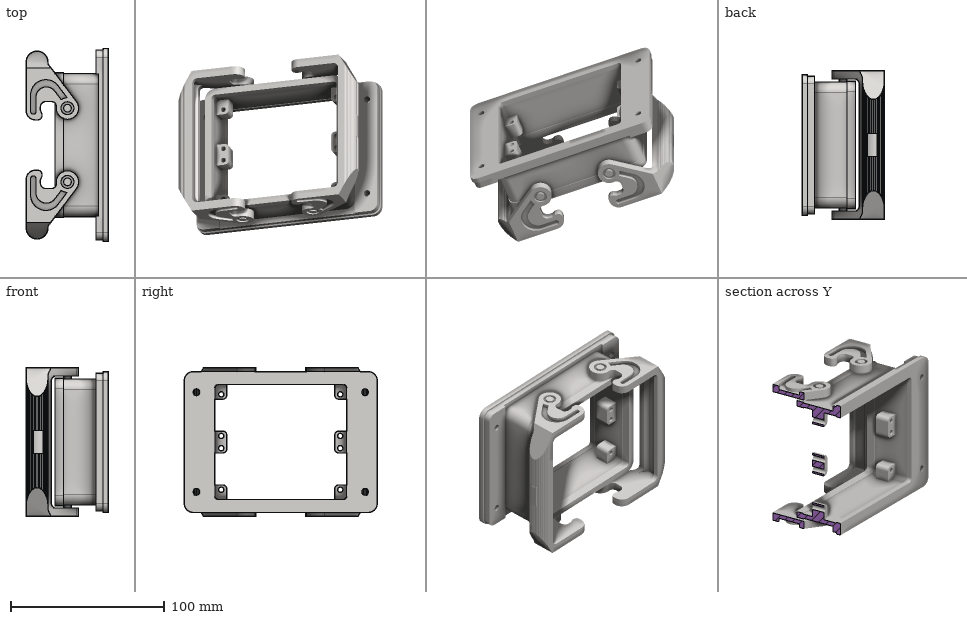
import cadquery as cq
import math


TOTAL_DEPTH = 53.8
FLANGE_WIDTH, FLANGE_HEIGHT = 126.0, 92.0
BACK_PLATE_THICKNESS = 3.5
FRONT_PLATE_THICKNESS = 4.7
PLATE_SETBACK = 1.0
FLANGE_CORNER_RADIUS = 6.0
RELIEF_WIDTH = 92.8
RELIEF_DEPTH = 1.7
SCREW_HOLE_DIAMETER = 4.3
SCREW_HOLE_Y, SCREW_HOLE_Z = 55.0, 32.5

BACK_PLATE_X = TOTAL_DEPTH - BACK_PLATE_THICKNESS
FRONT_PLATE_X = BACK_PLATE_X - FRONT_PLATE_THICKNESS

RIM_X = 18.9
RIM_DEPTH = 5.7
RIM_WIDTH, RIM_HEIGHT = 94.6, 83.4
RIM_CORNER_RADIUS = 6.9
WALL_SETBACK = 0.5
OPENING_WIDTH, OPENING_HEIGHT = 86.0, 74.8
OPENING_CORNER_RADIUS = 2.6

WALL_X = RIM_X + RIM_DEPTH
BODY_WIDTH = RIM_WIDTH - 2 * WALL_SETBACK
BODY_HEIGHT = RIM_HEIGHT - 2 * WALL_SETBACK
CAVITY_WIDTH = OPENING_WIDTH + 2 * WALL_SETBACK
CAVITY_HEIGHT = OPENING_HEIGHT + 2 * WALL_SETBACK

BLOCK_X = 31.1
BLOCK_DEPTH = 9.7
BLOCK_INNER_Y = 35.1
MIDDLE_BLOCK_HEIGHT = 14.4
CORNER_BLOCK_Z = 27.9
BLOCK_EDGE_RADIUS = 2.8
BLOCK_HOLE_DIAMETER = 3.3
BLOCK_HOLE_Y = 38.8
BLOCK_HOLE_HEIGHTS = (4.0, 31.1)

LEVER_HEIGHT = 97.0
ARM_THICKNESS = 5.5
GRIP_RADIUS = 7.2
GRIP_Y = 54.1
GRIP_BLEND_RADIUS = 1.0
PIVOT_X, PIVOT_Y = 27.05, 24.05
PIVOT_RADIUS = 7.25
BACK_ANGLE = math.radians(37.0)
HOOK_RADIUS = 6.3
HOOK_END_Y = 16.3
HOOK_TIP_RADIUS = 2.9
HOOK_TIP_X = 10.5
HOOK_LIP_Y = 20.4
MOUTH_X, MOUTH_BOTTOM_Y, MOUTH_TOP_Y = 9.45, 22.6, 28.3
MOUTH_RADIUS = 3.4
MOUTH_PIVOT_RADIUS = 3.2
CHAMFER_TOP_Y = 50.4
CHAMFER_ANGLE = math.radians(60.0)
CHAMFER_CLEARANCE = 1.0

HALF_HEIGHT = LEVER_HEIGHT / 2
ARM_INNER_Z = HALF_HEIGHT - ARM_THICKNESS
GRIP_END_Y = GRIP_Y + GRIP_RADIUS
LEVER_DEPTH = PIVOT_X + PIVOT_RADIUS
BACK_DIRECTION = (math.sin(BACK_ANGLE), -math.cos(BACK_ANGLE))
BACK_NORMAL = (math.cos(BACK_ANGLE), math.sin(BACK_ANGLE))

WINDOW_Y = 50.1
WINDOW_CORNER_RADIUS = 3.6
GRIP_POCKET_X = 3.3
GRIP_POCKET_Y = 52.6
BACK_WALL_THICKNESS = 3.4

POCKET_DEPTH = 2.5
POCKET_LEFT_X, POCKET_RIGHT_X = 3.0, 6.5
POCKET_END_Y = 20.1
POCKET_OUTER_CENTRE, POCKET_OUTER_RADIUS = (12.95, 32.7), 9.95
POCKET_INNER_CENTRE, POCKET_INNER_RADIUS = (13.3, 31.1), 6.8
POCKET_PIVOT_DISTANCE = 6.85

PIN_RADIUS = 2.5
PIN_RING_RADIUS = 4.2
PIN_RING_DEPTH = 1.5
PIN_EMBED = 1.0

RIB_FLUTE_COUNT = 26
RIB_FLUTE_DEPTH = 0.15
NAME_PLATE_X, NAME_PLATE_WIDTH, NAME_PLATE_HEIGHT = 4.8, 6.3, 15.0


def along(point, direction, distance):
    return (point[0] + direction[0] * distance, point[1] + direction[1] * distance)


def rounded_block(x_start, depth, width, height, radius):
    """Block centred on the X axis, with its four X-parallel edges rounded."""
    block = cq.Workplane("YZ", origin=(x_start, 0, 0)).rect(width, height).extrude(depth)
    return block.edges("|X").fillet(radius)


def span_block(x_span, y_span, z_span):
    """Axis-aligned block given by its limits."""
    sizes = [high - low for low, high in (x_span, y_span, z_span)]
    corner = (x_span[0], y_span[0], z_span[0])
    return cq.Workplane("XY").box(*sizes, centered=False).translate(corner)


def make_flange():
    flange = rounded_block(
        BACK_PLATE_X, BACK_PLATE_THICKNESS, FLANGE_WIDTH, FLANGE_HEIGHT, FLANGE_CORNER_RADIUS)
    front_plate = rounded_block(
        FRONT_PLATE_X, FRONT_PLATE_THICKNESS,
        FLANGE_WIDTH - 2 * PLATE_SETBACK, FLANGE_HEIGHT - 2 * PLATE_SETBACK,
        FLANGE_CORNER_RADIUS - PLATE_SETBACK)
    relief = span_block(
        (FRONT_PLATE_X, FRONT_PLATE_X + RELIEF_DEPTH),
        (-RELIEF_WIDTH / 2, RELIEF_WIDTH / 2),
        (-FLANGE_HEIGHT / 2, FLANGE_HEIGHT / 2))
    screw_holes = (
        cq.Workplane("YZ", origin=(FRONT_PLATE_X, 0, 0))
        .rect(2 * SCREW_HOLE_Y, 2 * SCREW_HOLE_Z, forConstruction=True)
        .vertices()
        .circle(SCREW_HOLE_DIAMETER / 2)
        .extrude(TOTAL_DEPTH - FRONT_PLATE_X))
    return flange.union(front_plate.cut(relief)).cut(screw_holes)


def make_housing():
    rim = rounded_block(RIM_X, RIM_DEPTH, RIM_WIDTH, RIM_HEIGHT, RIM_CORNER_RADIUS)
    body = rounded_block(
        WALL_X, BACK_PLATE_X - WALL_X, BODY_WIDTH, BODY_HEIGHT, RIM_CORNER_RADIUS)
    opening = rounded_block(
        RIM_X, TOTAL_DEPTH - RIM_X, OPENING_WIDTH, OPENING_HEIGHT, OPENING_CORNER_RADIUS)
    cavity = rounded_block(
        WALL_X, BACK_PLATE_X - WALL_X, CAVITY_WIDTH, CAVITY_HEIGHT,
        OPENING_CORNER_RADIUS + WALL_SETBACK)
    return make_flange().union(rim).union(body).cut(opening).cut(cavity)


def make_mounting_blocks():
    """The three blocks on the +Y wall; they reach into the wall to join it."""
    x_span = (BLOCK_X, BLOCK_X + BLOCK_DEPTH)
    wall_y = (CAVITY_WIDTH + BODY_WIDTH) / 4
    wall_z = (CAVITY_HEIGHT + BODY_HEIGHT) / 4
    y_span = (BLOCK_INNER_Y, wall_y)
    blocks = span_block(x_span, y_span, (-MIDDLE_BLOCK_HEIGHT / 2, MIDDLE_BLOCK_HEIGHT / 2))
    blocks = blocks.edges("|X and <Y").fillet(BLOCK_EDGE_RADIUS)
    upper = span_block(x_span, y_span, (CORNER_BLOCK_Z, wall_z))
    upper = upper.edges("|X and <Y and <Z").fillet(BLOCK_EDGE_RADIUS)
    blocks = blocks.union(upper).union(upper.mirror("XY"))
    walls = rounded_block(BLOCK_X, BLOCK_DEPTH, BODY_WIDTH, BODY_HEIGHT, RIM_CORNER_RADIUS)
    blocks = blocks.intersect(walls)
    hole_centres = [(BLOCK_HOLE_Y, side * z) for z in BLOCK_HOLE_HEIGHTS for side in (-1, 1)]
    holes = (
        cq.Workplane("YZ", origin=(BLOCK_X, 0, 0))
        .pushPoints(hole_centres)
        .circle(BLOCK_HOLE_DIAMETER / 2)
        .extrude(BLOCK_DEPTH))
    return blocks.cut(holes)


def add_fluted_grip(outline):
    """Carry the outline over the half-round grip as a row of shallow hollow arcs."""
    centre = (GRIP_RADIUS, GRIP_Y)
    pitch = math.pi / RIB_FLUTE_COUNT
    for index in range(RIB_FLUTE_COUNT):
        ridge_angle = math.pi - (index + 1) * pitch
        flute_angle = ridge_angle + pitch / 2
        flute_direction = (math.cos(flute_angle), math.sin(flute_angle))
        ridge_direction = (math.cos(ridge_angle), math.sin(ridge_angle))
        outline = outline.threePointArc(
            along(centre, flute_direction, GRIP_RADIUS - RIB_FLUTE_DEPTH),
            along(centre, ridge_direction, GRIP_RADIUS))
    return outline


def make_lever_outline():
    """Side profile of a lever, extruded over its full height."""
    diagonal = math.sqrt(0.5)
    pivot = (PIVOT_X, PIVOT_Y)
    back_tangent = along(pivot, BACK_NORMAL, PIVOT_RADIUS)
    neck_x = 2 * GRIP_RADIUS
    neck_y = back_tangent[1] + (back_tangent[0] - neck_x) / math.tan(BACK_ANGLE)

    blend_y = MOUTH_TOP_Y - MOUTH_PIVOT_RADIUS
    blend_reach = PIVOT_RADIUS + MOUTH_PIVOT_RADIUS
    blend_x = PIVOT_X - math.sqrt(blend_reach ** 2 - (blend_y - PIVOT_Y) ** 2)
    blend_angle = math.atan2(PIVOT_Y - blend_y, PIVOT_X - blend_x)
    blend_mid_angle = (math.pi / 2 + blend_angle) / 2
    blend_mid = (
        blend_x + MOUTH_PIVOT_RADIUS * math.cos(blend_mid_angle),
        blend_y + MOUTH_PIVOT_RADIUS * math.sin(blend_mid_angle))
    blend_end = (
        blend_x + MOUTH_PIVOT_RADIUS * math.cos(blend_angle),
        blend_y + MOUTH_PIVOT_RADIUS * math.sin(blend_angle))

    mouth_centre = (MOUTH_X + MOUTH_RADIUS, MOUTH_TOP_Y - MOUTH_RADIUS)
    tip_centre = (HOOK_TIP_X - HOOK_TIP_RADIUS, HOOK_END_Y + HOOK_TIP_RADIUS)
    hook_centre = (HOOK_RADIUS, HOOK_END_Y + HOOK_RADIUS)
    outline = (
        cq.Workplane("XY", origin=(0, 0, -HALF_HEIGHT))
        .moveTo(0, hook_centre[1])
        .lineTo(0, GRIP_Y))
    outline = add_fluted_grip(outline)
    outline = (
        outline.lineTo(neck_x, neck_y)
        .lineTo(*back_tangent)
        .threePointArc((PIVOT_X, PIVOT_Y - PIVOT_RADIUS), blend_end)
        .threePointArc(blend_mid, (blend_x, MOUTH_TOP_Y))
        .lineTo(mouth_centre[0], MOUTH_TOP_Y)
        .threePointArc(
            along(mouth_centre, (-diagonal, diagonal), MOUTH_RADIUS), (MOUTH_X, mouth_centre[1]))
        .lineTo(MOUTH_X, MOUTH_BOTTOM_Y)
        .lineTo(HOOK_TIP_X, HOOK_LIP_Y)
        .lineTo(HOOK_TIP_X, tip_centre[1])
        .threePointArc(
            along(tip_centre, (diagonal, -diagonal), HOOK_TIP_RADIUS), (tip_centre[0], HOOK_END_Y))
        .lineTo(hook_centre[0], HOOK_END_Y)
        .threePointArc(
            along(hook_centre, (-diagonal, -diagonal), HOOK_RADIUS), (0, hook_centre[1]))
        .close()
        .extrude(LEVER_HEIGHT))
    neck = cq.selectors.NearestToPointSelector((neck_x, neck_y, 0))
    return outline.edges("|Z").edges(neck).fillet(GRIP_BLEND_RADIUS)


def make_arm_gap():
    """Space between the arms, with a deeper pocket inside the grip."""
    window = rounded_block(0, LEVER_DEPTH, 2 * WINDOW_Y, 2 * ARM_INNER_Z, WINDOW_CORNER_RADIUS)
    back_point = along((PIVOT_X, PIVOT_Y), BACK_NORMAL, PIVOT_RADIUS - BACK_WALL_THICKNESS)
    back_slope = math.tan(BACK_ANGLE)
    pocket_corner_x = back_point[0] - (GRIP_POCKET_Y - back_point[1]) * back_slope
    pocket_end_x = back_point[0] + back_point[1] * back_slope
    grip_pocket = (
        cq.Workplane("XY", origin=(0, 0, -ARM_INNER_Z))
        .moveTo(GRIP_POCKET_X, 0)
        .lineTo(GRIP_POCKET_X, GRIP_POCKET_Y)
        .lineTo(pocket_corner_x, GRIP_POCKET_Y)
        .lineTo(pocket_end_x, 0)
        .close()
        .extrude(2 * ARM_INNER_Z))
    arm_reach_y = WINDOW_Y - WINDOW_CORNER_RADIUS
    arm_gap = span_block((0, LEVER_DEPTH), (0, arm_reach_y), (-ARM_INNER_Z, ARM_INNER_Z))
    return window.union(grip_pocket).union(arm_gap)


def make_grip_chamfers():
    """Wedges that bevel the upper and lower ends of the grip."""
    outer_y = GRIP_END_Y + CHAMFER_CLEARANCE
    drop = (outer_y - CHAMFER_TOP_Y) * math.tan(CHAMFER_ANGLE)
    wedge = (
        cq.Workplane("YZ")
        .moveTo(CHAMFER_TOP_Y, HALF_HEIGHT)
        .lineTo(outer_y, HALF_HEIGHT)
        .lineTo(outer_y, HALF_HEIGHT - drop)
        .close()
        .extrude(LEVER_DEPTH))
    return wedge.union(wedge.mirror("XY"))


def end_on_pivot_circle(tangent_point):
    """Where a line parallel to the lever back meets the circle ending the arm pocket."""
    offset = (tangent_point[0] - PIVOT_X, tangent_point[1] - PIVOT_Y)
    travel = offset[0] * BACK_DIRECTION[0] + offset[1] * BACK_DIRECTION[1]
    miss_squared = offset[0] ** 2 + offset[1] ** 2 - travel ** 2
    reach = -travel - math.sqrt(POCKET_PIVOT_DISTANCE ** 2 - miss_squared)
    return along(tangent_point, BACK_DIRECTION, reach)


def make_arm_pocket():
    """Hook-shaped pocket in the upper arm, following the arm around the mouth."""
    outer_tangent = along(POCKET_OUTER_CENTRE, BACK_NORMAL, POCKET_OUTER_RADIUS)
    inner_tangent = along(POCKET_INNER_CENTRE, BACK_NORMAL, POCKET_INNER_RADIUS)
    outer_top = along(POCKET_OUTER_CENTRE, (0, 1), POCKET_OUTER_RADIUS)
    inner_top = along(POCKET_INNER_CENTRE, (0, 1), POCKET_INNER_RADIUS)
    outer_end = end_on_pivot_circle(outer_tangent)
    inner_end = end_on_pivot_circle(inner_tangent)
    end_angles = [math.atan2(y - PIVOT_Y, x - PIVOT_X) for x, y in (outer_end, inner_end)]
    mid_angle = sum(end_angles) / 2
    end_mid = along(
        (PIVOT_X, PIVOT_Y), (math.cos(mid_angle), math.sin(mid_angle)), POCKET_PIVOT_DISTANCE)
    slot_radius = (POCKET_RIGHT_X - POCKET_LEFT_X) / 2
    slot_y = POCKET_END_Y + slot_radius
    return (
        cq.Workplane("XY", origin=(0, 0, HALF_HEIGHT - POCKET_DEPTH))
        .moveTo(POCKET_LEFT_X, slot_y)
        .lineTo(POCKET_LEFT_X, POCKET_OUTER_CENTRE[1])
        .threePointArc(outer_top, outer_tangent)
        .lineTo(*outer_end)
        .threePointArc(end_mid, inner_end)
        .lineTo(*inner_tangent)
        .threePointArc(inner_top, (POCKET_RIGHT_X, POCKET_INNER_CENTRE[1]))
        .lineTo(POCKET_RIGHT_X, slot_y)
        .threePointArc((POCKET_LEFT_X + slot_radius, POCKET_END_Y), (POCKET_LEFT_X, slot_y))
        .close()
        .extrude(POCKET_DEPTH))


def make_pin_ring():
    """Annular recess around the pin head in the upper arm."""
    return (
        cq.Workplane("XY", origin=(PIVOT_X, PIVOT_Y, HALF_HEIGHT - PIN_RING_DEPTH))
        .circle(PIN_RING_RADIUS)
        .circle(PIN_RADIUS)
        .extrude(PIN_RING_DEPTH))


def make_pin():
    """Pin bridging the gap between the housing and the upper arm."""
    start_z = BODY_HEIGHT / 2 - PIN_EMBED
    return (
        cq.Workplane("XY", origin=(PIVOT_X, PIVOT_Y, start_z))
        .circle(PIN_RADIUS)
        .extrude(HALF_HEIGHT - start_z))


def make_name_plate():
    """Smooth patch over the flutes, flush with the ridges between them."""
    half_round = cq.Workplane("XY").circle(GRIP_RADIUS).extrude(NAME_PLATE_HEIGHT)
    half_round = half_round.translate((GRIP_RADIUS, GRIP_Y, -NAME_PLATE_HEIGHT / 2))
    patch = span_block(
        (NAME_PLATE_X, NAME_PLATE_X + NAME_PLATE_WIDTH),
        (GRIP_Y, GRIP_END_Y),
        (-NAME_PLATE_HEIGHT / 2, NAME_PLATE_HEIGHT / 2))
    return half_round.intersect(patch)


def make_lever():
    """The lever on the +Y side together with its two pins."""
    lever = make_lever_outline().cut(make_arm_gap()).cut(make_grip_chamfers())
    lever = lever.union(make_name_plate())
    arm_recesses = make_arm_pocket().union(make_pin_ring())
    lever = lever.cut(arm_recesses).cut(arm_recesses.mirror("XY"))
    pin = make_pin()
    return lever.union(pin).union(pin.mirror("XY"))


def make_part():
    side_parts = (make_mounting_blocks(), make_lever())
    part = make_housing()
    for side_part in side_parts:
        part = part.union(side_part).union(side_part.mirror("XZ"))
    return part


result = make_part()